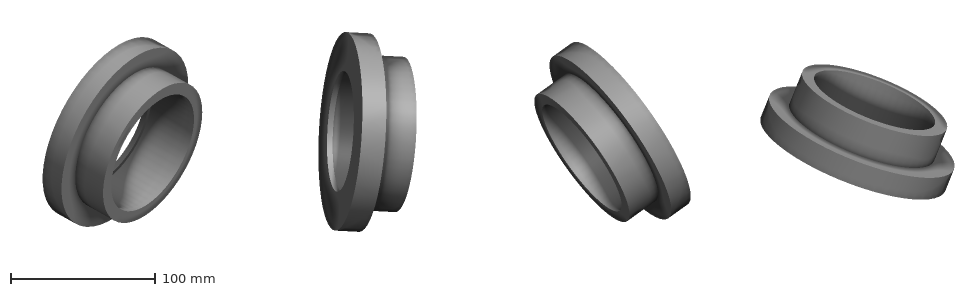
import cadquery as cq

total_length = 42.0
flange_diameter = 138.0
flange_thickness = 17.0
hub_diameter = 108.0
lip_bore_diameter = 84.0
lip_length = 4.0
main_bore_diameter = 90.0


def cylinder_along_x(diameter, start, end):
    """Solid cylinder centred on the X axis, from X = start to X = end."""
    return cq.Workplane("YZ", origin=(start, 0, 0)).circle(diameter / 2).extrude(end - start)


flange = cylinder_along_x(flange_diameter, 0, flange_thickness)
hub = cylinder_along_x(hub_diameter, flange_thickness, total_length)
body = flange.union(hub)

lip_bore = cylinder_along_x(lip_bore_diameter, 0, lip_length)
main_bore = cylinder_along_x(main_bore_diameter, lip_length, total_length)

result = body.cut(lip_bore).cut(main_bore)